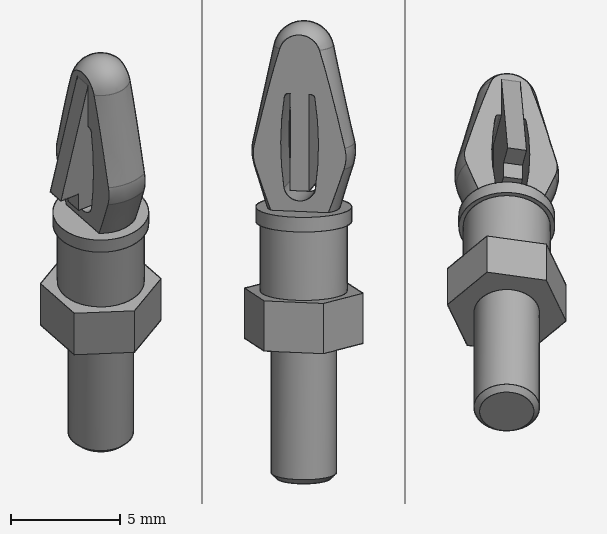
import cadquery as cq
import math

stud_chamfer = 0.25
hex_bottom_z = 6.44
hex_top_z = 8.8
collar_bottom_z = 12.05
collar_top_z = 12.75
total_height = 21.45

stud_diameter = 3.0
body_diameter = 4.0
collar_diameter = 4.4
hex_across_corners = 5.53
hex_across_flats = hex_across_corners * math.cos(math.pi / 6)

blade_thickness = 2.0
dome_radius = 1.4
bulge_radius = 2.0
bulge_max_radius = 2.38
bulge_center_z = 15.38
neck_radius = 1.67

window_top_z = 18.25
window_widest_z = 15.64
window_shoulder_z = 13.81
window_bottom_z = 13.23
window_top_half_width = 0.69
window_widest_half_width = 0.88
window_shoulder_half_width = 0.73
window_corner_radius = 0.2

tongue_width = 0.88
tongue_top_z = 20.6
tongue_tip_z = 14.63
tongue_bottom_z = 13.7
overall_depth = 4.9
tongue_reach = overall_depth - hex_across_flats / 2
tongue_foot_reach = 1.52


def cylinder(diameter, bottom_z, top_z):
    return cq.Workplane("XY").workplane(offset=bottom_z).circle(diameter / 2).extrude(top_z - bottom_z)


def on_circle(center_r, center_z, radius, angle):
    """Point (r, z) on a profile circle, with the angle measured up from the radial direction."""
    return (center_r + radius * math.cos(angle), center_z + radius * math.sin(angle))


def make_base():
    stud = cylinder(stud_diameter, 0, hex_bottom_z).faces("<Z").chamfer(stud_chamfer)
    hexagon = (
        cq.Workplane("XY")
        .workplane(offset=hex_bottom_z)
        .polygon(6, hex_across_corners)
        .extrude(hex_top_z - hex_bottom_z)
    )
    body = cylinder(body_diameter, hex_top_z, collar_bottom_z)
    collar = cylinder(collar_diameter, collar_bottom_z, collar_top_z)
    return stud.union(hexagon).union(body).union(collar)


def make_blade():
    dome_center_z = total_height - dome_radius
    bulge_center_r = bulge_max_radius - bulge_radius

    center_rise = dome_center_z - bulge_center_z
    center_distance = math.hypot(bulge_center_r, center_rise)
    upper_angle = math.atan2(bulge_center_r, center_rise) + math.asin(
        (bulge_radius - dome_radius) / center_distance
    )

    neck_dr = neck_radius - bulge_center_r
    neck_dz = collar_top_z - bulge_center_z
    neck_distance = math.hypot(neck_dr, neck_dz)
    lower_angle = math.atan2(neck_dz, neck_dr) + math.acos(bulge_radius / neck_distance)

    dome_middle_angle = (upper_angle + math.pi / 2) / 2
    bulb = (
        cq.Workplane("XZ")
        .moveTo(0, collar_top_z)
        .lineTo(neck_radius, collar_top_z)
        .lineTo(*on_circle(bulge_center_r, bulge_center_z, bulge_radius, lower_angle))
        .threePointArc(
            (bulge_max_radius, bulge_center_z),
            on_circle(bulge_center_r, bulge_center_z, bulge_radius, upper_angle),
        )
        .lineTo(*on_circle(0, dome_center_z, dome_radius, upper_angle))
        .threePointArc(
            on_circle(0, dome_center_z, dome_radius, dome_middle_angle),
            (0, total_height),
        )
        .close()
        .revolve(360, (0, 0, 0), (0, 1, 0))
    )
    slab = cq.Workplane("XY").box(
        2 * bulge_max_radius, blade_thickness, total_height, centered=(True, True, False)
    )
    return bulb.intersect(slab)


def make_window():
    window = (
        cq.Workplane("XZ")
        .moveTo(-window_top_half_width, window_top_z)
        .lineTo(window_top_half_width, window_top_z)
        .threePointArc(
            (window_widest_half_width, window_widest_z),
            (window_shoulder_half_width, window_shoulder_z),
        )
        .threePointArc((0, window_bottom_z), (-window_shoulder_half_width, window_shoulder_z))
        .threePointArc(
            (-window_widest_half_width, window_widest_z),
            (-window_top_half_width, window_top_z),
        )
        .close()
        .extrude(blade_thickness / 2, both=True)
    )
    return window.faces(">Z").edges("|Y").fillet(window_corner_radius)


def make_tongue():
    front_y = -blade_thickness / 2
    back_y = blade_thickness / 2
    return (
        cq.Workplane("YZ")
        .polyline([
            (back_y, tongue_top_z),
            (front_y, tongue_top_z),
            (-tongue_reach, tongue_tip_z),
            (-tongue_foot_reach, tongue_tip_z),
            (-tongue_foot_reach, tongue_bottom_z),
            (back_y, tongue_bottom_z),
        ])
        .close()
        .extrude(tongue_width / 2, both=True)
    )


head = make_blade().cut(make_window()).union(make_tongue())
result = make_base().union(head)